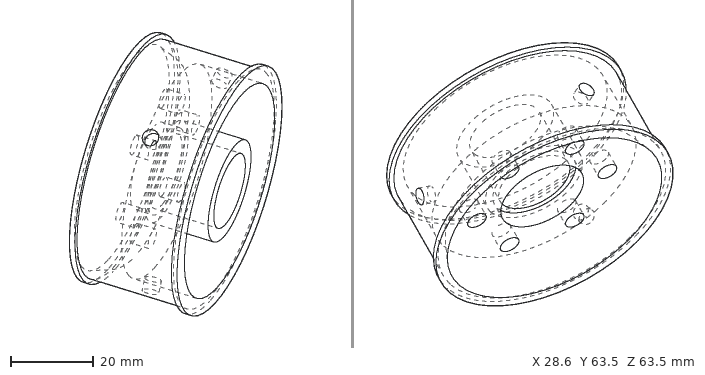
import cadquery as cq
import math


width = 28.575
flange_diameter = 63.5
flange_thickness = 1.5
body_diameter = 60.96
rear_pocket_diameter = 54.6

pocket_mouth_diameter = 57.4
pocket_depth = 7.14
cone_depth = 4.9
cone_end_diameter = 53.9
web_flat_diameter = 48.0

web_thickness = 4.76
hub_diameter = 26.0
bore_diameter = 19.05
bearing_seat_diameter = 22.2
bearing_seat_depth = 4.6

bolt_hole_count = 6
bolt_hole_diameter = 5.0
bolt_circle_diameter = 34.9
radial_hole_diameter = 4.1
radial_hole_angles = (15, 120, 240)

front_x = -width / 2
rear_x = width / 2
web_front_x = front_x + pocket_depth
web_rear_x = web_front_x + web_thickness
cone_end_x = front_x + cone_depth


def disc(diameter, start_x, end_x):
    """Solid cylinder on the X axis between two stations."""
    return cq.Workplane("YZ", origin=(start_x, 0, 0)).circle(diameter / 2).extrude(end_x - start_x)


def make_rim_blank():
    """Cylindrical body with a thin flange at each end."""
    body = disc(body_diameter, front_x, rear_x)
    front_flange = disc(flange_diameter, front_x, front_x + flange_thickness)
    rear_flange = disc(flange_diameter, rear_x - flange_thickness, rear_x)
    return body.union(front_flange).union(rear_flange)


def make_front_pocket():
    """Conical recess whose corner is an arc tangent to the flat web."""
    corner_run = (cone_end_diameter - web_flat_diameter) / 2
    corner_rise = web_front_x - cone_end_x
    corner_radius = (corner_run**2 + corner_rise**2) / (2 * corner_rise)
    half_sweep = math.asin(corner_run / corner_radius) / 2
    corner_mid = (
        web_front_x - corner_radius * (1 - math.cos(half_sweep)),
        web_flat_diameter / 2 + corner_radius * math.sin(half_sweep),
    )
    return (
        cq.Workplane("XY")
        .moveTo(front_x, 0)
        .lineTo(front_x, pocket_mouth_diameter / 2)
        .lineTo(cone_end_x, cone_end_diameter / 2)
        .threePointArc(corner_mid, (web_front_x, web_flat_diameter / 2))
        .lineTo(web_front_x, 0)
        .close()
        .revolve(360, (0, 0, 0), (1, 0, 0))
    )


def make_rear_pocket():
    """Cylindrical recess behind the web, leaving the hub standing flush with the rear face."""
    hub = disc(hub_diameter, web_rear_x, rear_x)
    return disc(rear_pocket_diameter, web_rear_x, rear_x).cut(hub)


def make_bore():
    """Through bore with a bearing seat sunk into the front of the web."""
    bearing_seat = disc(bearing_seat_diameter, web_front_x, web_front_x + bearing_seat_depth)
    return disc(bore_diameter, front_x, rear_x).union(bearing_seat)


def make_bolt_holes():
    """Ring of holes through the web, the first one on the +Y side."""
    return (
        cq.Workplane("YZ", origin=(web_front_x, 0, 0))
        .polarArray(bolt_circle_diameter / 2, 0, 360, bolt_hole_count)
        .circle(bolt_hole_diameter / 2)
        .extrude(web_thickness)
    )


def make_radial_hole(angle):
    """Hole through the rim wall at mid-width, pointing away from the axis."""
    direction = cq.Vector(0, math.cos(math.radians(angle)), math.sin(math.radians(angle)))
    start_radius = (hub_diameter + rear_pocket_diameter) / 4
    length = flange_diameter / 2 - start_radius
    return cq.Workplane(
        cq.Solid.makeCylinder(radial_hole_diameter / 2, length, direction * start_radius, direction)
    )


result = make_rim_blank()
result = result.cut(make_front_pocket())
result = result.cut(make_rear_pocket())
result = result.cut(make_bore())
result = result.cut(make_bolt_holes())
for hole_angle in radial_hole_angles:
    result = result.cut(make_radial_hole(hole_angle))